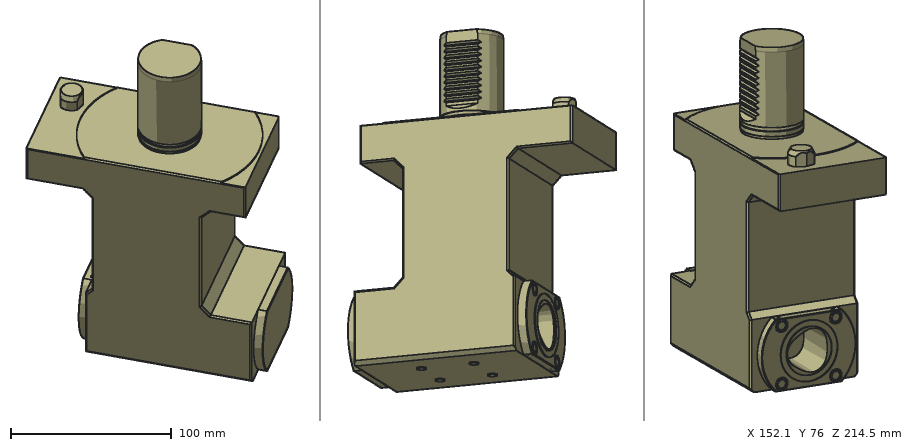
import cadquery as cq
import math


width = 76.0
bottom_z = 0.6
top_z = 154.7
flange_bottom_z = 129.8
foot_top_z = 48.3
flange_left, flange_right = -82.0, 60.0
waist_left, waist_right = -39.5, 31.5
foot_left, foot_right = -43.5, 64.1
corner_bevel = 6.0
foot_left_bevel = waist_left - foot_left
edge_chamfer = 1.0
bottom_chamfer = 2.8

seat_radius = 58.0
seat_height = 0.6

total_height = 214.5
shank_radius = 20.0
tip_radius = 19.5
tip_chamfer_height = 2.8
neck_height = 1.7
seal_ring_top_z = 162.2
seal_ring_thickness = 2.5
flat_y = 17.0
flat_bottom_z = 166.9
tooth_count = 10
tooth_depth = 1.3
first_tooth_z = 170.3
last_tooth_z = 206.1
tooth_pitch = (last_tooth_z - first_tooth_z) / (tooth_count - 1)

pin_x, pin_y = -67.8, 15.0
pin_radius = 8.4
pin_top_radius = 6.6
pin_top_z = 164.0
pin_chamfer_height = 3.5
pin_apex_x = 7.5
pin_shoulder_x = 5.4

plate_center_z = 24.5
plate_radius = 33.0
plate_half_height = 23.5
plate_thickness = 6.0
plate_chamfer = 0.5
rim_radius = 20.0
rim_bore_radius = 15.9
rim_height = 0.6

socket_mouth_radius = 14.0
socket_end_radius = 13.3
socket_lobe = 1.0
socket_depth = 30.0
socket_points = 36

screw_spacing = 38.0
screw_hole_diameter = 8.4
screw_head_diameter = 7.3
screw_head_chamfer = 0.9
screw_recess_depth = 4.3

button_diameter = 5.8
button_xs = (-7.5, 27.5)
button_y = 15.7


def make_body():
    outline = [
        (flange_left, top_z),
        (flange_right, top_z),
        (flange_right, flange_bottom_z),
        (waist_right + corner_bevel, flange_bottom_z),
        (waist_right, flange_bottom_z - corner_bevel),
        (waist_right, foot_top_z + corner_bevel),
        (waist_right + corner_bevel, foot_top_z),
        (foot_right, foot_top_z),
        (foot_right, bottom_z),
        (foot_left, bottom_z),
        (foot_left, foot_top_z),
        (waist_left, foot_top_z + foot_left_bevel),
        (waist_left, flange_bottom_z - corner_bevel),
        (waist_left - corner_bevel, flange_bottom_z),
        (flange_left, flange_bottom_z),
    ]
    body = cq.Workplane("XZ").polyline(outline).close().extrude(width / 2, both=True)
    body = body.faces("<Y or >Y").edges().chamfer(edge_chamfer)

    for side in (-1, 1):
        bevel = (
            cq.Workplane("YZ", origin=(foot_left, 0, 0))
            .moveTo(side * width / 2, bottom_z)
            .lineTo(side * (width / 2 - bottom_chamfer), bottom_z)
            .lineTo(side * width / 2, bottom_z + bottom_chamfer)
            .close()
            .extrude(foot_right - foot_left)
        )
        body = body.cut(bevel)

    cover_side = -2 * flange_left
    surround = (
        cq.Workplane("XY", origin=(0, 0, top_z - seat_height))
        .rect(cover_side, cover_side)
        .circle(seat_radius)
        .extrude(seat_height)
    )
    return body.cut(surround)


def make_shank():
    neck_top_z = top_z + neck_height
    ring_half = seal_ring_thickness / 2
    ring_root_radius = shank_radius - ring_half
    ring_bottom_z = seal_ring_top_z - seal_ring_thickness
    shank = (
        cq.Workplane("XZ")
        .moveTo(0, flange_bottom_z)
        .lineTo(tip_radius, flange_bottom_z)
        .lineTo(tip_radius, neck_top_z)
        .lineTo(shank_radius, neck_top_z)
        .lineTo(shank_radius, ring_bottom_z)
        .lineTo(ring_root_radius, ring_bottom_z)
        .threePointArc((shank_radius, ring_bottom_z + ring_half), (ring_root_radius, seal_ring_top_z))
        .lineTo(shank_radius, seal_ring_top_z)
        .lineTo(shank_radius, total_height - tip_chamfer_height)
        .lineTo(tip_radius, total_height)
        .lineTo(0, total_height)
        .close()
        .revolve(360, (0, 0), (0, 1))
    )

    runout = 2 * (shank_radius - flat_y)
    flat = (
        cq.Workplane("YZ")
        .moveTo(flat_y, total_height)
        .lineTo(flat_y, flat_bottom_z)
        .lineTo(flat_y + runout, flat_bottom_z - runout)
        .lineTo(flat_y + runout, total_height)
        .close()
        .extrude(shank_radius, both=True)
    )
    shank = shank.cut(flat)

    for index in range(tooth_count):
        z = first_tooth_z + index * tooth_pitch
        groove = (
            cq.Workplane("YZ")
            .moveTo(flat_y - tooth_depth, z)
            .lineTo(flat_y, z - tooth_depth)
            .lineTo(flat_y, z + tooth_depth)
            .close()
            .extrude(shank_radius, both=True)
        )
        shank = shank.cut(groove)
    return shank


def make_pin():
    shoulder_z = pin_top_z - pin_chamfer_height
    round_pin = (
        cq.Workplane("XZ")
        .moveTo(0, flange_bottom_z)
        .lineTo(pin_radius, flange_bottom_z)
        .lineTo(pin_radius, shoulder_z)
        .lineTo(pin_top_radius, pin_top_z)
        .lineTo(0, pin_top_z)
        .close()
        .revolve(360, (0, 0), (0, 1))
    )
    shoulder_y = math.sqrt(pin_radius**2 - pin_shoulder_x**2)
    diamond_y = shoulder_y * pin_apex_x / (pin_apex_x - pin_shoulder_x)
    diamond = (
        cq.Workplane("XY", origin=(0, 0, flange_bottom_z))
        .polyline([(pin_apex_x, 0), (0, diamond_y), (-pin_apex_x, 0), (0, -diamond_y)])
        .close()
        .extrude(pin_top_z - flange_bottom_z)
    )
    return round_pin.intersect(diamond).translate((pin_x, pin_y, 0))


def plate_plane(x):
    """Plane facing +X on the plate axis, with local x along Y and local y along Z."""
    return cq.Workplane("YZ", origin=(x, 0, plate_center_z))


def make_plate(x, outer_face):
    disc = plate_plane(x).circle(plate_radius).extrude(plate_thickness)
    band = plate_plane(x).rect(2 * plate_radius, 2 * plate_half_height).extrude(plate_thickness)
    return disc.intersect(band).faces(outer_face).chamfer(plate_chamfer)


def lobed_outline(mean_radius):
    points = []
    for index in range(socket_points):
        angle = 2 * math.pi * index / socket_points
        radius = mean_radius + socket_lobe * math.cos(3 * angle)
        points.append((radius * math.cos(angle), radius * math.sin(angle)))
    return points


def make_socket(mouth_x):
    return (
        plate_plane(mouth_x)
        .spline(lobed_outline(socket_mouth_radius), periodic=True)
        .close()
        .workplane(offset=socket_depth)
        .spline(lobed_outline(socket_end_radius), periodic=True)
        .close()
        .loft(combine=True)
    )


def make_screw_gaps(face_x):
    """Ring-shaped gaps, 2 x 2, between the screw heads and their recesses."""
    recesses = (
        plate_plane(face_x)
        .rarray(screw_spacing, screw_spacing, 2, 2)
        .circle(screw_hole_diameter / 2)
        .extrude(screw_recess_depth)
    )
    heads = (
        plate_plane(face_x)
        .rarray(screw_spacing, screw_spacing, 2, 2)
        .circle(screw_head_diameter / 2)
        .extrude(screw_recess_depth)
        .faces("<X")
        .chamfer(screw_head_chamfer)
    )
    return recesses.cut(heads)


def make_buttons():
    spots = [(x, y) for x in button_xs for y in (-button_y, button_y)]
    return cq.Workplane("XY").pushPoints(spots).circle(button_diameter / 2).extrude(bottom_z)


left_face_x = foot_left - plate_thickness
rim = plate_plane(left_face_x).circle(rim_radius).circle(rim_bore_radius).extrude(-rim_height)

result = (
    make_body()
    .union(make_shank())
    .union(make_pin())
    .union(make_plate(left_face_x, "<X"))
    .union(make_plate(foot_right, ">X"))
    .union(rim)
    .union(make_buttons())
    .cut(make_socket(left_face_x))
    .cut(make_screw_gaps(left_face_x))
)